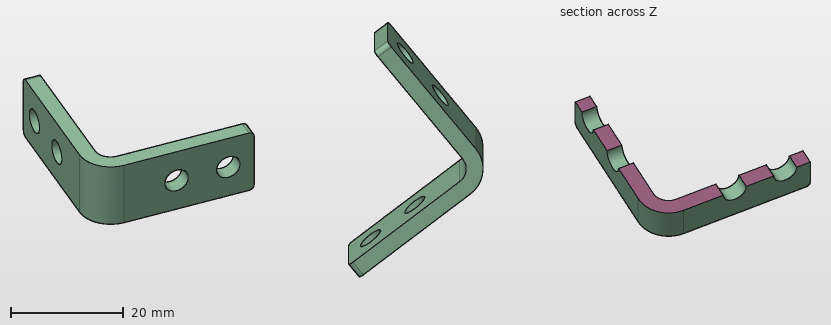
import cadquery as cq

leg_length = 31.15
width = 12.7
thickness = 3.0
inner_bend_radius = 3.0
corner_radius = 1.0
hole_diameter = 4.5
first_hole_from_end = 5.0
hole_pitch = 10.0
holes_per_leg = 2

outer_bend_radius = inner_bend_radius + thickness
bend_start = leg_length - outer_bend_radius
inner_face = leg_length - thickness
mid_height = width / 2
hole_distances = [first_hole_from_end + i * hole_pitch for i in range(holes_per_leg)]


def bent_strip():
    """L-shaped strip: X leg along y = 0, Y leg along x = leg_length, round bend between."""
    return (
        cq.Workplane("XY")
        .moveTo(0, 0)
        .lineTo(bend_start, 0)
        .radiusArc((leg_length, outer_bend_radius), -outer_bend_radius)
        .lineTo(leg_length, leg_length)
        .lineTo(inner_face, leg_length)
        .lineTo(inner_face, outer_bend_radius)
        .radiusArc((bend_start, thickness), inner_bend_radius)
        .lineTo(0, thickness)
        .close()
        .extrude(width)
    )


def round_free_ends(body):
    """Round the two corners at the free end of each leg."""
    body = body.faces("<X").edges("|Y").fillet(corner_radius)
    return body.faces(">Y").edges("|X").fillet(corner_radius)


def x_leg_holes():
    """Cutters through the X leg, measured from its free end at x = 0."""
    points = [(distance, mid_height) for distance in hole_distances]
    return (
        cq.Workplane("XZ")
        .pushPoints(points)
        .circle(hole_diameter / 2)
        .extrude(-thickness)
    )


def y_leg_holes():
    """Cutters through the Y leg, measured from its free end at y = leg_length."""
    points = [(leg_length - distance, mid_height) for distance in hole_distances]
    return (
        cq.Workplane("YZ", origin=(inner_face, 0, 0))
        .pushPoints(points)
        .circle(hole_diameter / 2)
        .extrude(thickness)
    )


bracket = round_free_ends(bent_strip())
result = bracket.cut(x_leg_holes()).cut(y_leg_holes())